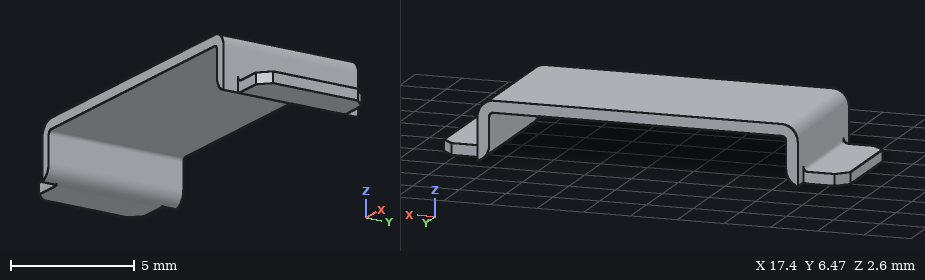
import cadquery as cq

length = 17.4
width = 6.47
height = 2.6
thickness = 0.5
outer_radius = 0.7
inner_radius = outer_radius - thickness
bridge_length = 13.71
tab_width = 5.08
tab_chamfer = 0.5

half_length = length / 2
leg_outer_x = bridge_length / 2
leg_inner_x = leg_outer_x - thickness
bend_x = leg_inner_x + outer_radius


def make_bridge():
    """Full-width inverted U with rounded top corners."""
    outside = (
        cq.Workplane("XY")
        .box(bridge_length, width, height, centered=(True, True, False))
        .edges("|Y and >Z")
        .fillet(outer_radius)
    )
    opening = (
        cq.Workplane("XY")
        .box(2 * leg_inner_x, width, height - thickness, centered=(True, True, False))
        .edges("|Y and >Z")
        .fillet(inner_radius)
    )
    return outside.cut(opening)


def make_tab():
    """Chamfered foot tab with a fillet running up the outer leg face."""
    flat = (
        cq.Workplane("XY")
        .box(half_length - leg_inner_x, tab_width, thickness, centered=(False, True, False))
        .translate((leg_inner_x, 0, 0))
        .edges("|Z and >X")
        .chamfer(tab_chamfer)
    )
    bend_fillet = (
        cq.Workplane("XZ", origin=(0, tab_width / 2, 0))
        .moveTo(leg_outer_x, thickness)
        .lineTo(bend_x, thickness)
        .radiusArc((leg_outer_x, outer_radius), inner_radius)
        .close()
        .extrude(tab_width)
    )
    return flat.union(bend_fillet)


def make_bend_relief():
    """Waste outside the round bend between the leg and the foot."""
    return (
        cq.Workplane("XZ", origin=(0, width / 2, 0))
        .moveTo(leg_inner_x, 0)
        .lineTo(bend_x, 0)
        .radiusArc((leg_inner_x, outer_radius), outer_radius)
        .close()
        .extrude(width)
    )


tab = make_tab()
relief = make_bend_relief()
result = make_bridge().union(tab).union(tab.mirror("YZ"))
result = result.cut(relief).cut(relief.mirror("YZ"))